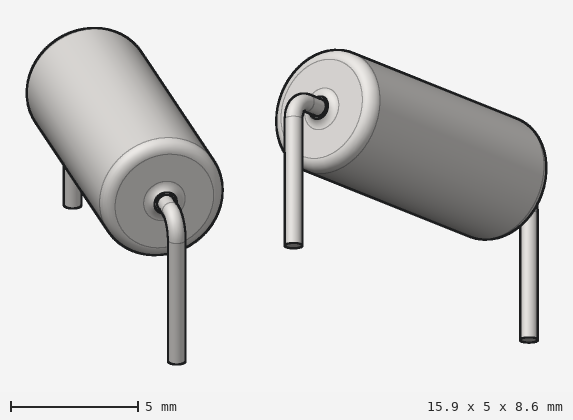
import cadquery as cq
import math

overall_length = 15.94
body_diameter = 5.0
body_length = 11.6
edge_radius = 0.5
collar_height = 0.19
wire_diameter = 0.7
bend_radius = 0.88
lead_drop = 6.1

body_radius = body_diameter / 2
wire_radius = wire_diameter / 2
half_body = body_length / 2
collar_tip = half_body + collar_height
lead_x = overall_length / 2 - wire_radius

flare_radius = edge_radius
collar_base_radius = wire_radius + flare_radius
flare_angle = math.acos(1 - collar_height / flare_radius)
collar_tip_radius = collar_base_radius - flare_radius * math.sin(flare_angle)


def arc_point(center, radius, angle):
    """Point on a circle, with the angle measured from the first axis towards the second."""
    return (center[0] + radius * math.cos(angle), center[1] + radius * math.sin(angle))


def make_collar(side):
    """Revolve one flare about X, standing on the end face at the given side (-1 or +1)."""
    flare_center = (half_body + flare_radius, collar_base_radius)
    flare_middle = arc_point(flare_center, flare_radius, math.pi + flare_angle / 2)
    return (
        cq.Workplane("XY")
        .moveTo(side * half_body, 0)
        .lineTo(side * half_body, collar_base_radius)
        .threePointArc((side * flare_middle[0], flare_middle[1]), (side * collar_tip, collar_tip_radius))
        .lineTo(side * collar_tip, 0)
        .close()
        .revolve(360, (0, 0, 0), (1, 0, 0))
    )


def make_body():
    """Cylinder along X with rounded end edges and a collar on each end face."""
    cylinder = (
        cq.Workplane("YZ", origin=(-half_body, 0, 0))
        .circle(body_radius)
        .extrude(body_length)
        .faces("<X or >X")
        .edges()
        .fillet(edge_radius)
    )
    for side in (-1, 1):
        cylinder = cylinder.union(make_collar(side))
    return cylinder


def make_lead(side):
    """Sweep one wire from the collar tip outwards and down; side is -1 or +1 along X."""
    bend_center = (lead_x - bend_radius, -bend_radius)
    bend_middle = arc_point(bend_center, bend_radius, math.pi / 4)
    path = (
        cq.Workplane("XZ")
        .moveTo(side * collar_tip, 0)
        .lineTo(side * bend_center[0], 0)
        .threePointArc((side * bend_middle[0], bend_middle[1]), (side * lead_x, -bend_radius))
        .lineTo(side * lead_x, -lead_drop)
    )
    return (
        cq.Workplane("YZ", origin=(side * collar_tip, 0, 0))
        .circle(wire_radius)
        .sweep(path)
    )


body = make_body()
leads = [make_lead(side) for side in (-1, 1)]

result = cq.Compound.makeCompound([*body.solids().vals(), *[lead.val() for lead in leads]])